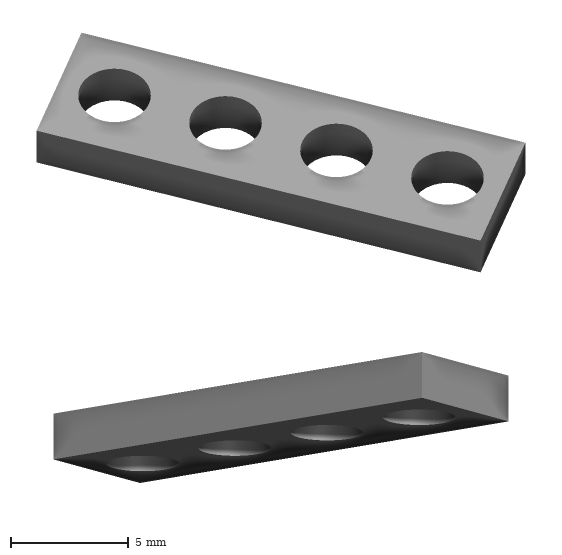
import cadquery as cq

length = 20.0
width = 6.0
thickness = 2.0

hole_count = 4
hole_diameter = 3.1
hole_pitch = length / hole_count

bar = cq.Workplane("XY").box(length, width, thickness)

result = (
    bar.faces(">Z")
    .workplane()
    .rarray(hole_pitch, width, hole_count, 1)
    .hole(hole_diameter)
)